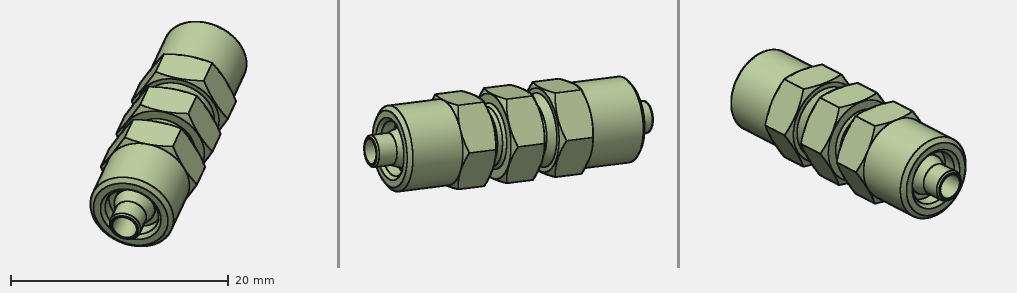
import cadquery as cq
import math

half_length = 14.25
across_flats = 8.0
flat_radius = across_flats / 2
corner_radius = across_flats / math.sqrt(3)
hex_chamfer_angle = math.radians(30)

tube_diameter = 3.0
tube_radius = tube_diameter / 2
bore_radius = 1.17
tube_tip_chamfer = 0.17

sleeve_end = 12.25
sleeve_chamfer_radial = 0.43
sleeve_chamfer_length = 0.37
socket_mouth_radius = 2.9
socket_radius = 2.56
socket_mouth_depth = 0.35
socket_depth = 1.6
tube_root_radius = 1.95
tube_taper_length = 1.2

nut_outer = 6.73
nut_inner = 3.25
middle_half_length = 1.75
nut_outer_face_radius = flat_radius
nut_inner_face_radius = 3.9
middle_face_radius = 3.95

neck_radius = 2.8
neck_inner = 2.02
neck_outer = 2.55
neck_cone_radius = 3.45
neck_foot_radius = neck_radius + neck_inner - middle_half_length


def revolve_profile(points):
    """Revolve an outline of (radius, Y) points about the Y axis."""
    return cq.Workplane("XY").polyline(points).close().revolve(360, (0, 0, 0), (0, 1, 0))


def hex_section(start, end, start_face_radius, end_face_radius):
    """Hexagonal bar from Y=start to Y=end, with conical corner chamfers on both faces."""
    bar = (
        cq.Workplane("XZ", origin=(0, end, 0))
        .polygon(6, 2 * corner_radius)
        .extrude(end - start)
    )
    start_chamfer = (corner_radius - start_face_radius) * math.tan(hex_chamfer_angle)
    end_chamfer = (corner_radius - end_face_radius) * math.tan(hex_chamfer_angle)
    envelope = revolve_profile([
        (0, start),
        (start_face_radius, start),
        (corner_radius, start + start_chamfer),
        (corner_radius, end - end_chamfer),
        (end_face_radius, end),
        (0, end),
    ])
    return bar.intersect(envelope)


def half_core():
    """Round parts of one half: neck, sleeve, socket and tube, still without the bore."""
    socket_floor = sleeve_end - socket_depth
    return revolve_profile([
        (0, 0),
        (neck_foot_radius, 0),
        (neck_foot_radius, middle_half_length),
        (neck_radius, neck_inner),
        (neck_radius, neck_outer),
        (neck_cone_radius, nut_inner),
        (flat_radius, nut_outer),
        (flat_radius, sleeve_end - sleeve_chamfer_length),
        (flat_radius - sleeve_chamfer_radial, sleeve_end),
        (socket_mouth_radius, sleeve_end),
        (socket_radius, sleeve_end - socket_mouth_depth),
        (socket_radius, socket_floor),
        (tube_root_radius, socket_floor),
        (tube_root_radius, sleeve_end - tube_taper_length),
        (tube_radius, sleeve_end),
        (tube_radius, half_length - tube_tip_chamfer),
        (tube_radius - tube_tip_chamfer, half_length),
        (0, half_length),
    ])


nut = hex_section(nut_inner, nut_outer, nut_inner_face_radius, nut_outer_face_radius)
half = half_core().union(nut)
middle_hex = hex_section(-middle_half_length, middle_half_length, middle_face_radius, middle_face_radius)
bore = cq.Workplane("XZ").circle(bore_radius).extrude(half_length, both=True)

result = half.union(half.mirror("XZ")).union(middle_hex).cut(bore)